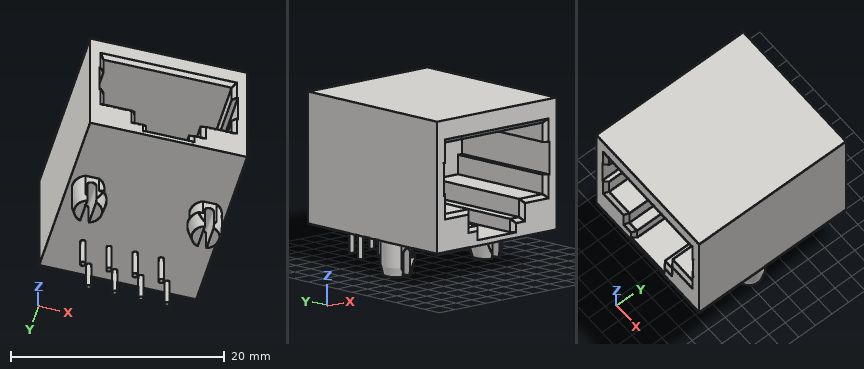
import cadquery as cq


housing_width = 15.3
housing_depth = 17.74
housing_height = 12.7

cavity_depth = 12.0
cavity_half_width = 6.23
cavity_top = 10.43
shoulder_half_width = 3.22
shoulder_floor = 3.57
latch_half_width = 2.09
latch_shoulder_floor = 1.82
latch_floor = 0.54
mouth_chamfer = 0.4

groove_half_width = 6.73
groove_bottom = 5.44
groove_top = 8.58

peg_spacing = 11.43
peg_setback = 10.13
peg_y = housing_depth - peg_setback
peg_length = 3.5
peg_radius = 1.525
peg_thickness = 2.75
peg_tip_radius = 1.31
peg_tip_length = 0.9
barb_radius = 1.72
barb_ledge_depth = 1.73
barb_rim_height = 0.24
peg_slot_width = 0.86
peg_slot_top_depth = 0.8

pin_count = 8
pin_pitch = 1.27
pin_diameter = 0.5
pin_length = 3.25
pin_row_spacing = 2 * pin_pitch
rear_row_setback = 1.23
rear_row_y = housing_depth - rear_row_setback


def cavity_outline(y, growth):
    """Stepped cavity outline at depth y, every edge but the floor moved outward by growth."""
    half_outline = [
        (latch_half_width + growth, latch_floor),
        (latch_half_width + growth, latch_shoulder_floor - growth),
        (shoulder_half_width + growth, latch_shoulder_floor - growth),
        (shoulder_half_width + growth, shoulder_floor - growth),
        (cavity_half_width + growth, shoulder_floor - growth),
        (cavity_half_width + growth, cavity_top + growth),
    ]
    mirrored_half = [(-x, z) for x, z in reversed(half_outline)]
    points = [cq.Vector(x, y, z) for x, z in half_outline + mirrored_half]
    return cq.Wire.makePolygon(points, close=True)


def make_cavity():
    """Blind stepped cavity with a chamfered mouth and a groove along each side wall."""
    depth_vector = cq.Vector(0, cavity_depth, 0)
    bore = cq.Solid.extrudeLinear(cavity_outline(0, 0), [], depth_vector)
    mouth_wires = [cavity_outline(0, mouth_chamfer), cavity_outline(mouth_chamfer, 0)]
    mouth = cq.Solid.makeLoft(mouth_wires, True)
    grooves = cq.Workplane("XY").box(
        2 * groove_half_width, cavity_depth, groove_top - groove_bottom, centered=(True, False, False)
    ).translate((0, 0, groove_bottom))
    return grooves.union(cq.Workplane(bore)).union(cq.Workplane(mouth))


def revolve_about_z(profile):
    """Full turn of a closed (radius, z) profile about the Z axis."""
    return cq.Workplane("XZ").polyline(profile).close().revolve(360, (0, 0), (0, 1))


def make_peg(side):
    """Split snap peg on the given X side (-1 or 1), its barb pointing toward the middle."""
    shank = revolve_about_z([
        (0, 0),
        (peg_radius, 0),
        (peg_radius, peg_tip_length - peg_length),
        (peg_tip_radius, -peg_length),
        (0, -peg_length),
    ])
    barb = revolve_about_z([
        (0, -barb_ledge_depth),
        (barb_radius, -barb_ledge_depth),
        (barb_radius, -barb_ledge_depth - barb_rim_height),
        (peg_tip_radius, -peg_length),
        (0, -peg_length),
    ])
    barb_half = cq.Workplane("XY").box(
        2 * barb_radius, 2 * barb_radius, peg_length, centered=(False, True, False)
    ).translate((0, 0, -peg_length))
    peg = shank.union(barb.intersect(barb_half))

    flats = cq.Workplane("XY").box(
        2 * barb_radius, peg_thickness, peg_length, centered=(True, True, False)
    ).translate((0, 0, -peg_length))
    peg = peg.intersect(flats)

    slot_radius = peg_slot_width / 2
    slot_arc_z = -peg_slot_top_depth - slot_radius
    slot = (
        cq.Workplane("XZ")
        .moveTo(-slot_radius, -peg_length)
        .lineTo(-slot_radius, slot_arc_z)
        .threePointArc((0, -peg_slot_top_depth), (slot_radius, slot_arc_z))
        .lineTo(slot_radius, -peg_length)
        .close()
        .extrude(peg_thickness, both=True)
    )
    peg = peg.cut(slot)
    if side > 0:
        peg = peg.mirror("YZ")
    return peg.translate((side * peg_spacing / 2, peg_y, 0))


def make_housing():
    """Hollow block with its two snap pegs moulded underneath."""
    block = cq.Workplane("XY").box(
        housing_width, housing_depth, housing_height, centered=(True, False, False)
    )
    body = block.cut(make_cavity())
    for side in (-1, 1):
        body = body.union(make_peg(side))
    return body


def make_pin(index):
    """Round contact pin below the board plane; alternate pins stand in alternate rows."""
    x = (index - (pin_count - 1) / 2) * pin_pitch
    y = rear_row_y - ((index + 1) % 2) * pin_row_spacing
    return cq.Workplane("XY").center(x, y).circle(pin_diameter / 2).extrude(-pin_length)


housing = make_housing()
pins = [make_pin(index) for index in range(pin_count)]

result = cq.Compound.makeCompound([housing.solids().val(), *[pin.val() for pin in pins]])